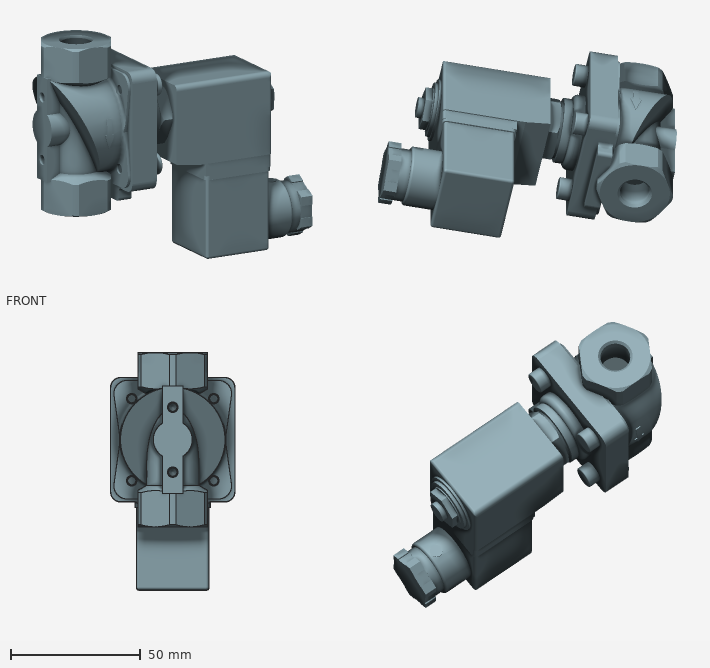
import cadquery as cq
import math


port_half_length = 33.6
port_hex_flats = 27.0
port_hex_round_radius = 14.9
port_face_radius = 13.5
pipe_radius = 10.1
neck_end_z = 17.6
port_hole_diameter = 11.5
port_hole_mouth_diameter = 13.3
port_hole_depth = 13.7
hex_sides = 6
hex_chamfer_slope = math.tan(math.radians(30))

chamber_radius = 20.1
slant_top_y, slant_top_z = -14.0, 20.0
slant_bottom_y, slant_bottom_z = 4.0, -17.8

foot_y = -15.0
foot_width = 8.0
foot_height = 41.4
pad_radius = 7.5
foot_hole_offset = 12.5
hole_diameter = 3.2
hole_mouth_diameter = 4.0
foot_hole_depth = 3.4
drill_point_half_angle = 59

arrow_radius = 20.5
arrow_y = 3.5
arrow_tail_z, arrow_neck_z, arrow_tip_z = 6.0, -0.2, -5.9
arrow_shaft_width = 2.2
arrow_head_width = 4.3

plate_y = 10.2
cover_y = 11.4
cover_top_y = 22.2
cover_side = 48.0
cover_corner_radius = 4.0
plate_half_height = 22.9
plate_half_waist = 20.3
plate_half_end = 23.4
plate_corner_radius = 5.1
chamber_blend_radius = 1.4

screw_offset = 15.8
screw_head_diameter = 8.5
screw_head_top_y = 27.1
screw_head_edge_radius = 0.5
screw_hole_depth = 0.6

lug_width = 26.6
lug_bottom_z = -29.6
lug_back_y = 17.1
lug_root_radius = 1.4
lug_edge_radius = 1.5

collar_round_y = 24.5
collar_top_y = 26.6
collar_top_radius = 12.5
spacer_radius = 12.3
disc_bottom_y = 27.1
disc_radius = 12.6
disc_top_y = 30.0
neck_radius = 10.9
core_hex_y = 31.1
core_hex_flats = 22.3
core_hex_face_radius = 11.7

coil_front_y = 36.1
coil_back_y = 78.3
coil_half_width = 15.0
coil_top_z = 13.5
coil_bottom_z = -19.3
coil_front_bottom_z = -17.9
coil_slope_y = 45.9
coil_edge_radius = 2.2
coil_back_radius = 1.08
socket_half_width = 14.6
socket_front_y = 49.3
socket_bottom_z = -24.5
nut_flats = 14.2

washers = [(12.1, 0.9), (10.6, 2.2), (8.5, 2.6)]
nut_end_y = 83.5
stud_diameter = 8.0
stud_end_y = 85.7

gasket_bottom_z = -26.2
gasket_corner_radius = 1.7
plug_front_y = 50.0
plug_back_y = 77.7
plug_half_width = 14.0
plug_bottom_z = -58.0
plug_edge_radius = 1.08
gland_z = -46.0
gland_radius = 11.5
gland_end_y = 89.8
gland_edge_radius = 1.0
gland_spot_diameter = 5.0
gland_spot_y = 85.9
gland_spot_rise = 0.1
gland_neck_diameter = 20.3
cap_y = 93.8
cap_end_y = 98.8
cap_flats = 20.9
cap_recess_width = 4.9
cap_recess_depth = 0.5

quarter_arc_inset = 1 - math.sqrt(0.5)


def y_plane(y):
    """Plane at height y whose normal is +Y; local x is X and local y is -Z."""
    return cq.Plane(origin=(0, y, 0), xDir=(1, 0, 0), normal=(0, 1, 0))


def y_cylinder(radius, y_start, y_end, x=0, z=0):
    return cq.Workplane(y_plane(y_start)).center(x, -z).circle(radius).extrude(y_end - y_start)


def block(half_width, y_start, y_end, z_bottom, z_top):
    """Box centred on X between the given Y and Z limits."""
    return (
        cq.Workplane("XY")
        .box(2 * half_width, y_end - y_start, z_top - z_bottom, centered=(True, False, False))
        .translate((0, y_start, z_bottom))
    )


def hex_corner_diameter(flats):
    return flats / math.cos(math.pi / hex_sides)


def port():
    """Upper port: a hexagon chamfered at its face and tapering to the pipe."""
    face_chamfer = (port_hex_round_radius - port_face_radius) * hex_chamfer_slope
    neck_height = (port_hex_round_radius - pipe_radius) * hex_chamfer_slope
    envelope = (
        cq.Workplane("XZ")
        .moveTo(0, neck_end_z)
        .lineTo(pipe_radius, neck_end_z)
        .lineTo(port_hex_round_radius, neck_end_z + neck_height)
        .lineTo(port_hex_round_radius, port_half_length - face_chamfer)
        .lineTo(port_face_radius, port_half_length)
        .lineTo(0, port_half_length)
        .close()
        .revolve(360, (0, 0, 0), (0, 1, 0))
    )
    hexagon = (
        cq.Workplane("XY")
        .workplane(offset=neck_end_z)
        .transformed(rotate=(0, 0, 90))
        .polygon(hex_sides, hex_corner_diameter(port_hex_flats))
        .extrude(port_half_length - neck_end_z)
    )
    return hexagon.intersect(envelope)


def port_hole():
    """Blind hole of the upper port, with a chamfered mouth."""
    mouth_chamfer = (port_hole_mouth_diameter - port_hole_diameter) / 2
    hole = (
        cq.Workplane("XY")
        .workplane(offset=port_half_length - port_hole_depth)
        .circle(port_hole_diameter / 2)
        .extrude(port_hole_depth)
    )
    mouth = cq.Workplane(
        cq.Solid.makeCone(
            port_hole_diameter / 2,
            port_hole_mouth_diameter / 2,
            mouth_chamfer,
            pnt=cq.Vector(0, 0, port_half_length - mouth_chamfer),
        )
    )
    return hole.union(mouth)


def slanted_chamber():
    """Round chamber whose front is cut off by a slanted plane."""
    slope = (slant_bottom_y - slant_top_y) / (slant_bottom_z - slant_top_z)
    reach = chamber_radius + 1.1
    top_y = slant_top_y + slope * (reach - slant_top_z)
    bottom_y = slant_top_y + slope * (-reach - slant_top_z)
    wedge = (
        cq.Workplane("YZ")
        .polyline([(top_y, reach), (cover_y, reach), (cover_y, -reach), (bottom_y, -reach)])
        .close()
        .extrude(reach, both=True)
    )
    return y_cylinder(chamber_radius, top_y, cover_y).intersect(wedge)


def flow_arrows():
    shaft = arrow_shaft_width / 2
    head = arrow_head_width / 2
    outline = [
        (arrow_y - shaft, arrow_tail_z),
        (arrow_y + shaft, arrow_tail_z),
        (arrow_y + shaft, arrow_neck_z),
        (arrow_y + head, arrow_neck_z),
        (arrow_y, arrow_tip_z),
        (arrow_y - head, arrow_neck_z),
        (arrow_y - shaft, arrow_neck_z),
    ]
    prism = cq.Workplane("YZ").polyline(outline).close().extrude(arrow_radius, both=True)
    return prism.intersect(y_cylinder(arrow_radius, arrow_y - head, arrow_y + head))


def mounting_foot():
    bar = block(foot_width / 2, foot_y, 0, -foot_height / 2, foot_height / 2)
    return bar.union(y_cylinder(pad_radius, foot_y, 0))


def foot_hole(z):
    """Blind hole with a chamfered mouth and a drill point."""
    radius = hole_diameter / 2
    mouth_radius = hole_mouth_diameter / 2
    point = radius / math.tan(math.radians(drill_point_half_angle))
    return (
        cq.Workplane("XY")
        .polyline(
            [
                (0, foot_y),
                (mouth_radius, foot_y),
                (radius, foot_y + mouth_radius - radius),
                (radius, foot_y + foot_hole_depth),
                (0, foot_y + foot_hole_depth + point),
            ]
        )
        .close()
        .revolve(360, (0, 0, 0), (0, 1, 0))
        .translate((0, 0, z))
    )


def waisted_plate(y_start):
    outline = [
        (plate_half_end, plate_half_height),
        (plate_half_waist, 0),
        (plate_half_end, -plate_half_height),
        (-plate_half_end, -plate_half_height),
        (-plate_half_waist, 0),
        (-plate_half_end, plate_half_height),
    ]
    plate = cq.Workplane(y_plane(y_start)).polyline(outline).close().extrude(cover_y - y_start)
    return plate.edges("|Y").edges("<Z or >Z").fillet(plate_corner_radius)


def chamber_blend():
    """Concave fillet between chamber and plate, trimmed to the outline of the plate."""
    blend_start_y = plate_y - chamber_blend_radius
    root_radius = chamber_radius + chamber_blend_radius
    mid = chamber_blend_radius * quarter_arc_inset
    ring = (
        cq.Workplane("XY")
        .moveTo(0, blend_start_y)
        .lineTo(chamber_radius, blend_start_y)
        .threePointArc((chamber_radius + mid, plate_y - mid), (root_radius, plate_y))
        .lineTo(0, plate_y)
        .close()
        .revolve(360, (0, 0, 0), (0, 1, 0))
    )
    return ring.intersect(waisted_plate(blend_start_y))


def lug():
    """Lug under the cover, with rounded lower edges and a concave root."""
    half = lug_width / 2
    root_z = -cover_side / 2
    edge_mid = lug_edge_radius * quarter_arc_inset
    root_mid = lug_root_radius * quarter_arc_inset
    half_profile = (
        cq.Workplane("XZ", origin=(0, cover_y, 0))
        .moveTo(0, root_z)
        .lineTo(half + lug_root_radius, root_z)
        .threePointArc((half + root_mid, root_z - root_mid), (half, root_z - lug_root_radius))
        .lineTo(half, lug_bottom_z + lug_edge_radius)
        .threePointArc(
            (half - edge_mid, lug_bottom_z + edge_mid),
            (half - lug_edge_radius, lug_bottom_z),
        )
        .lineTo(0, lug_bottom_z)
        .close()
        .extrude(cover_y - lug_back_y)
    )
    return half_profile.union(half_profile.mirror("YZ"))


def cover():
    """Square cover with its screws, the waisted plate in front and the lug below."""
    flange = (
        cq.Workplane(y_plane(cover_y))
        .rect(cover_side, cover_side)
        .extrude(cover_top_y - cover_y)
        .edges("|Y")
        .fillet(cover_corner_radius)
    )
    flange = flange.union(waisted_plate(plate_y)).union(lug())
    for x in (-screw_offset, screw_offset):
        for z in (-screw_offset, screw_offset):
            head = y_cylinder(screw_head_diameter / 2, cover_top_y, screw_head_top_y, x, z)
            flange = flange.union(head.faces(">Y").edges().fillet(screw_head_edge_radius))
    return flange


def screw_hole(x, z):
    """Chamfered hole in the plate, closed a little way in and cleared through the chamber blend."""
    mouth = cq.Solid.makeCone(
        hole_mouth_diameter / 2,
        hole_diameter / 2,
        (hole_mouth_diameter - hole_diameter) / 2,
        pnt=cq.Vector(x, plate_y, z),
        dir=cq.Vector(0, 1, 0),
    )
    bore = y_cylinder(hole_diameter / 2, plate_y, plate_y + screw_hole_depth, x, z)
    clearance = y_cylinder(hole_mouth_diameter / 2, plate_y - chamber_blend_radius, plate_y, x, z)
    return bore.union(cq.Workplane(mouth)).union(clearance)


def core_hexagon():
    """Hexagon that carries the coil, chamfered at both ends."""
    corner_radius = hex_corner_diameter(core_hex_flats) / 2
    chamfer = (corner_radius - core_hex_face_radius) * hex_chamfer_slope
    envelope = (
        y_cylinder(corner_radius, core_hex_y, coil_front_y)
        .edges()
        .chamfer(chamfer, corner_radius - core_hex_face_radius)
    )
    hexagon = (
        cq.Workplane(y_plane(core_hex_y))
        .polygon(hex_sides, 2 * corner_radius)
        .extrude(coil_front_y - core_hex_y)
    )
    return hexagon.intersect(envelope)


def collar():
    """Rounded collar, spacer, disc and neck behind the cover."""
    edge_radius = collar_top_y - collar_round_y
    rounded = y_cylinder(collar_top_radius + edge_radius, cover_top_y, collar_top_y)
    rounded = rounded.faces(">Y").edges().fillet(edge_radius)
    spacer = y_cylinder(spacer_radius, collar_top_y, disc_bottom_y)
    disc = y_cylinder(disc_radius, disc_bottom_y, disc_top_y)
    neck = y_cylinder(neck_radius, disc_top_y, core_hex_y)
    return rounded.union(spacer).union(disc).union(neck)


def make_valve():
    """Valve body with ports, cover, collar and core hexagon."""
    pipe = cq.Workplane("XY").circle(pipe_radius).extrude(neck_end_z, both=True)
    upper_port = port()
    body = slanted_chamber().union(pipe).union(mounting_foot())
    body = body.union(upper_port).union(upper_port.mirror("XY"))
    body = body.union(flow_arrows()).union(cover()).union(chamber_blend())
    body = body.union(collar()).union(core_hexagon())
    body = body.cut(port_hole()).cut(port_hole().mirror("XY"))
    for z in (-foot_hole_offset, foot_hole_offset):
        body = body.cut(foot_hole(z))
    for x in (-screw_offset, screw_offset):
        for z in (-screw_offset, screw_offset):
            body = body.cut(screw_hole(x, z))
    return body


def coil_nut():
    """Washers, hexagonal nut and stud end behind the coil."""
    stack = y_cylinder(stud_diameter / 2, coil_back_y, stud_end_y)
    for radius, height in washers:
        stack = stack.union(y_cylinder(radius, coil_back_y, coil_back_y + height))
    nut = (
        cq.Workplane(y_plane(coil_back_y))
        .transformed(rotate=(0, 0, 90))
        .polygon(hex_sides, hex_corner_diameter(nut_flats))
        .extrude(nut_end_y - coil_back_y)
    )
    return stack.union(nut)


def make_coil():
    """Coil housing with its connector socket and the nut behind it."""
    side = [
        (coil_front_y, coil_top_z),
        (coil_back_y, coil_top_z),
        (coil_back_y, coil_bottom_z),
        (coil_slope_y, coil_bottom_z),
        (coil_front_y, coil_front_bottom_z),
    ]
    housing = cq.Workplane("YZ").polyline(side).close().extrude(coil_half_width, both=True)
    housing = housing.faces(">Y").edges("not <Z").fillet(coil_back_radius)
    section = block(coil_half_width, coil_front_y, coil_back_y, coil_bottom_z, coil_top_z)
    section = section.edges("|Y and >Z").fillet(coil_edge_radius)
    housing = housing.intersect(section)
    socket = block(socket_half_width, socket_front_y, coil_back_y, socket_bottom_z, coil_bottom_z)
    socket = socket.faces(">Y").edges("|Z").fillet(coil_back_radius)
    return housing.union(socket).union(coil_nut())


def gland_cap():
    """Hexagonal cap with a shallow grip recess in each flat."""
    length = cap_end_y - cap_y
    cap = (
        cq.Workplane(y_plane(cap_y))
        .transformed(rotate=(0, 0, 90))
        .polygon(hex_sides, hex_corner_diameter(cap_flats))
        .extrude(length)
    )
    recess = (
        cq.Workplane("XY")
        .box(2 * cap_recess_depth, length, cap_recess_width)
        .translate((cap_flats / 2, cap_y + length / 2, 0))
    )
    for step in range(hex_sides):
        cap = cap.cut(recess.rotate((0, 0, 0), (0, 1, 0), step * 360 / hex_sides))
    return cap.translate((0, 0, gland_z))


def cable_gland():
    barrel = y_cylinder(gland_radius, plug_back_y, gland_end_y, z=gland_z)
    barrel = barrel.faces(">Y").edges().fillet(gland_edge_radius)
    neck = y_cylinder(gland_neck_diameter / 2, gland_end_y, cap_y, z=gland_z)
    spot = (
        cq.Workplane("XY", origin=(0, gland_spot_y, gland_z))
        .circle(gland_spot_diameter / 2)
        .extrude(gland_radius + gland_spot_rise)
    )
    return barrel.union(neck).union(spot).union(gland_cap())


def make_connector():
    """Connector plug with its gasket and cable gland."""
    gasket = block(socket_half_width, socket_front_y, coil_back_y, gasket_bottom_z, socket_bottom_z)
    gasket = gasket.edges("|Z").fillet(gasket_corner_radius)
    plug = block(plug_half_width, plug_front_y, plug_back_y, plug_bottom_z, gasket_bottom_z)
    plug = plug.edges("|Z or <Z").fillet(plug_edge_radius)
    return plug.union(gasket).union(cable_gland())


valve = make_valve()
coil = make_coil()
connector = make_connector()

result = cq.Compound.makeCompound([valve.val(), coil.val(), connector.val()])